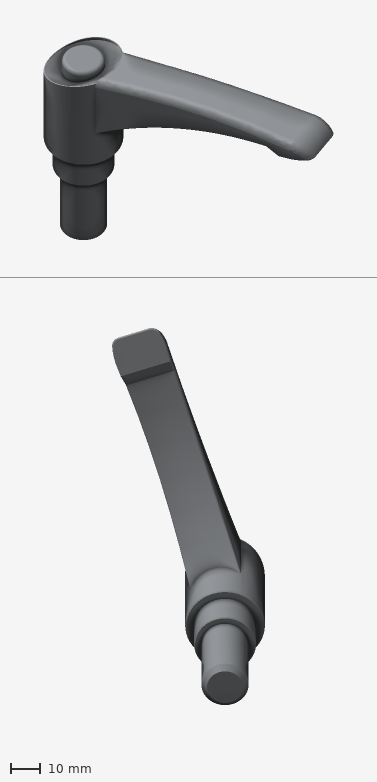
import math

import cadquery as cq

total_height = 90.93
total_length = 107.95
stud_length = 30.0
top_z = total_height - stud_length

stud_diameter = 16.0
stud_chamfer = 1.9
sleeve_diameter = 21.0
sleeve_length = 13.0
sleeve_embedment = 13.0
hub_diameter = 27.0
hub_radius = hub_diameter / 2
shoulder_chamfer = 0.4

crown_low_z = 44.0
crown_middle_z = 49.2
crown_high_z = 51.8

dish_lip = 0.4
dish_radius = hub_radius - dish_lip
dish_low_z = 44.1
dish_high_z = 53.0
dish_sphere_radius = 28.0

button_diameter = 14.6
button_top_z = 50.8
button_edge_radius = 1.5

tip_rounding_loss = 0.29
tip_x = total_length - hub_radius + tip_rounding_loss
tip_z = 56.15
arm_start_x = 8.0
arm_start_z = 52.3
arm_start_direction = (1, 0.19)
arm_middle_x = 44.0
arm_middle_z = 58.5
nose_x = 86.5
finger_heel_x = 81.9
finger_heel_z = 53.0
finger_notch_x = 77.0
finger_notch_z = 55.0
belly_middle_x = 41.6
belly_middle_z = 45.2
belly_root_x = 10.1
belly_root_z = 27.5

arm_root_half_width = 9.25
waist_x = 48.0
waist_half_width = 8.3
arm_end_half_width = 9.25
tip_half_width = 7.6
tip_middle_x = (nose_x + tip_x) / 2
tip_middle_half_width = arm_end_half_width - (arm_end_half_width - tip_half_width) / 4
arm_top_radius = 2.8
arm_bottom_radius = 0.5

underside_normal_limit = -0.3


def make_turned_body():
    """Stud, sleeve and hub stacked on the Z axis, with the sloping crown on the hub."""
    stud = (
        cq.Workplane("XY", origin=(0, 0, -stud_length))
        .circle(stud_diameter / 2)
        .extrude(stud_length + sleeve_length)
        .faces("<Z")
        .chamfer(stud_chamfer)
    )
    sleeve = (
        cq.Workplane("XY")
        .circle(sleeve_diameter / 2)
        .extrude(sleeve_length + sleeve_embedment)
        .faces("<Z")
        .chamfer(shoulder_chamfer)
    )
    hub = (
        cq.Workplane("XY", origin=(0, 0, sleeve_length))
        .circle(hub_radius)
        .extrude(top_z - sleeve_length)
        .faces("<Z")
        .chamfer(shoulder_chamfer)
    )
    return stud.union(sleeve).union(hub.intersect(make_crown_envelope()))


def make_crown_envelope():
    """Everything below the sloping, gently arched crown of the hub."""
    return (
        cq.Workplane("XZ")
        .moveTo(-hub_radius, 0)
        .lineTo(-hub_radius, crown_low_z)
        .threePointArc((0, crown_middle_z), (hub_radius, crown_high_z))
        .lineTo(hub_radius, 0)
        .close()
        .extrude(hub_radius, both=True)
    )


def make_arm():
    """Curved lever: the side elevation trimmed by the waisted plan outline, edges rounded."""
    elevation = (
        cq.Workplane("XZ", origin=(0, hub_radius, 0))
        .moveTo(arm_start_x, arm_start_z)
        .spline(
            [(arm_middle_x, arm_middle_z), (nose_x, top_z)],
            tangents=[arm_start_direction, (1, 0)],
            includeCurrent=True,
        )
        .tangentArcPoint((tip_x, tip_z), relative=False)
        .lineTo(finger_heel_x, finger_heel_z)
        .lineTo(finger_notch_x, finger_notch_z)
        .threePointArc((belly_middle_x, belly_middle_z), (belly_root_x, belly_root_z))
        .lineTo(arm_start_x, belly_root_z)
        .close()
        .extrude(hub_diameter)
    )
    plan = (
        cq.Workplane("XY")
        .moveTo(arm_start_x, -arm_root_half_width)
        .threePointArc((waist_x, -waist_half_width), (nose_x, -arm_end_half_width))
        .threePointArc((tip_middle_x, -tip_middle_half_width), (tip_x, -tip_half_width))
        .lineTo(tip_x, tip_half_width)
        .threePointArc((tip_middle_x, tip_middle_half_width), (nose_x, arm_end_half_width))
        .threePointArc((waist_x, waist_half_width), (arm_start_x, arm_root_half_width))
        .close()
        .extrude(total_height)
    )
    arm = elevation.intersect(plan)
    arm = arm.faces("%EXTRUSION").edges("%BSPLINE").fillet(arm_top_radius)
    return round_underside(arm)


def round_underside(arm):
    """Ease the edges between the downward faces of the arm and its sides."""
    lower_edges = []
    for face in arm.faces().vals():
        if face.normalAt().z < underside_normal_limit:
            lower_edges += cq.Workplane(face).edges("not |Y").vals()
    return arm.newObject(lower_edges).fillet(arm_bottom_radius)


def make_dish():
    """Tilted spherical hollow, kept inside the thin lip of the hub."""
    rise = dish_high_z - dish_low_z
    chord = math.hypot(2 * dish_radius, rise)
    center_distance = math.sqrt(dish_sphere_radius**2 - (chord / 2) ** 2)
    center_x = -center_distance * rise / chord
    center_z = (dish_low_z + dish_high_z) / 2 + center_distance * 2 * dish_radius / chord
    sphere = cq.Workplane("XY", origin=(center_x, 0, center_z)).sphere(dish_sphere_radius)
    column = cq.Workplane("XY").circle(dish_radius).extrude(top_z)
    return sphere.intersect(column)


def make_button():
    """Round push button rising out of the dish, with a rounded top edge."""
    return (
        cq.Workplane("XY", origin=(0, 0, sleeve_length))
        .circle(button_diameter / 2)
        .extrude(button_top_z - sleeve_length)
        .faces(">Z")
        .edges()
        .fillet(button_edge_radius)
    )


result = make_turned_body().union(make_arm()).cut(make_dish()).union(make_button())